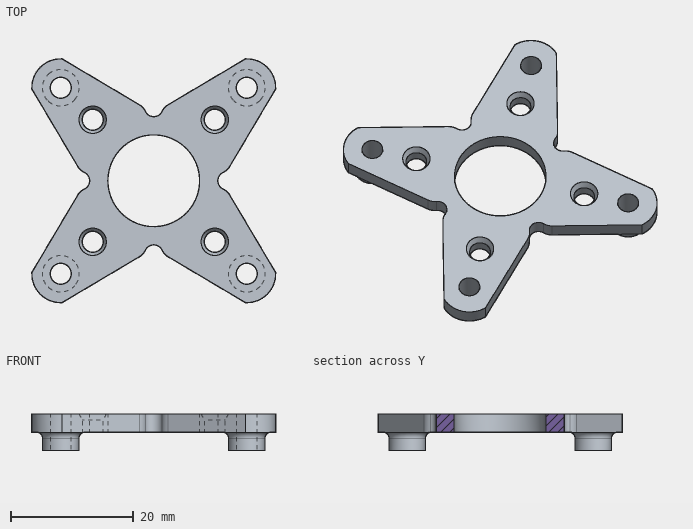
import cadquery as cq
import math

overall_width = 40
plate_thickness = 3.0
bore_diameter = 15.0

tip_offset = 15.25
tip_radius = overall_width / 2 - tip_offset
flank_end_x = 15.05
flank_end_y = tip_offset + math.sqrt(tip_radius**2 - (tip_offset - flank_end_x) ** 2)
flank_meeting_y = 11.1

notch_diameter = 3.0
notch_radius = notch_diameter / 2
notch_bottom = 10.5
notch_offset = notch_bottom + notch_radius
notch_edge_radius = 2.4

boss_diameter = 6
boss_height = 3.0
boss_fillet = 1.0
hole_diameter = 3.4

mount_offset = 10
countersink_diameter = 4.5
countersink_depth = 1.0
countersink_inset = (countersink_diameter - hole_diameter) / 2
countersink_angle = 2 * math.degrees(math.atan(countersink_inset / countersink_depth))


def square_pattern(offset):
    return [(x, y) for x in (-offset, offset) for y in (-offset, offset)]


def make_arm():
    """One arm, pointing along the +X +Y diagonal, as a quarter of the plate."""
    tip_middle = tip_offset + tip_radius * math.sqrt(0.5)
    return (
        cq.Workplane("XY")
        .lineTo(0, flank_meeting_y)
        .lineTo(flank_end_x, flank_end_y)
        .threePointArc((tip_middle, tip_middle), (flank_end_y, flank_end_x))
        .lineTo(flank_meeting_y, 0)
        .close()
        .extrude(plate_thickness)
    )


def make_plate():
    arm = make_arm()
    plate = arm
    for angle in (90, 180, 270):
        plate = plate.union(arm.rotate((0, 0, 0), (0, 0, 1), angle))
    plate = plate.clean()

    notches = (
        cq.Workplane("XY")
        .polarArray(notch_offset, 0, 360, 4)
        .circle(notch_radius)
        .extrude(plate_thickness)
    )
    plate = plate.cut(notches)

    search_radius = notch_diameter
    for angle in (0, 90, 180, 270):
        notch_x = notch_offset * math.cos(math.radians(angle))
        notch_y = notch_offset * math.sin(math.radians(angle))
        notch_edges = cq.selectors.BoxSelector(
            (notch_x - search_radius, notch_y - search_radius, 0),
            (notch_x + search_radius, notch_y + search_radius, plate_thickness),
        )
        plate = plate.edges("|Z").edges(notch_edges).fillet(notch_edge_radius)
    return plate


def add_bosses(plate):
    bosses = (
        cq.Workplane("XY")
        .pushPoints(square_pattern(tip_offset))
        .circle(boss_diameter / 2)
        .extrude(-boss_height)
    )
    body = plate.union(bosses)

    for x, y in square_pattern(tip_offset):
        root_edge = cq.selectors.BoxSelector(
            (x - boss_diameter, y - boss_diameter, -boss_height / 2),
            (x + boss_diameter, y + boss_diameter, boss_height / 2),
            boundingbox=True,
        )
        smallest_circle = cq.selectors.RadiusNthSelector(0)
        root_circle = body.edges("%CIRCLE").edges(root_edge).edges(smallest_circle)
        body = root_circle.fillet(boss_fillet)
    return body


def drill_holes(body):
    top = body.faces(">Z").workplane(origin=(0, 0, plate_thickness))
    body = top.hole(bore_diameter)
    top = body.faces(">Z").workplane(origin=(0, 0, plate_thickness))
    body = top.pushPoints(square_pattern(tip_offset)).hole(hole_diameter)
    top = body.faces(">Z").workplane(origin=(0, 0, plate_thickness))
    return top.pushPoints(square_pattern(mount_offset)).cskHole(
        hole_diameter, countersink_diameter, countersink_angle
    )


result = drill_holes(add_bosses(make_plate()))